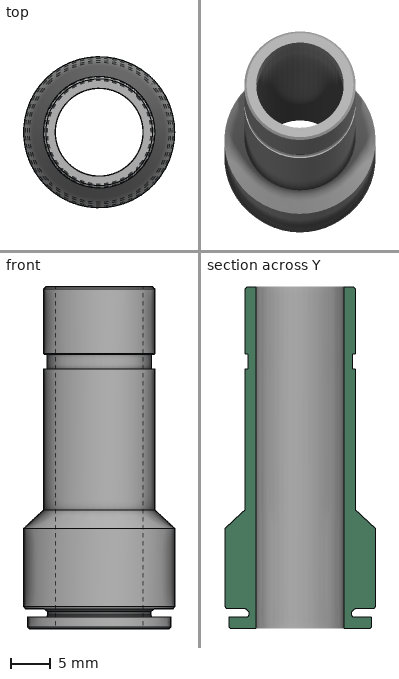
import cadquery as cq

total_height = 43.0
bore_diameter = 11.0

collar_diameter = 18.0
collar_height = 1.5
collar_edge = 0.2

neck_diameter = 13.0
neck_foot_diameter = 13.2
neck_foot_top = 1.7
neck_head_diameter = 13.8
neck_head_bottom = 2.15

body_diameter = 19.0
body_bottom = 2.5
body_top = 12.6
body_edge_height = 0.3
body_edge_width = 0.2

tube_diameter = 14.0
tube_bottom = 14.9
tube_edge = 0.3
groove_diameter = 13.2
groove_bottom = 32.7
groove_top = 34.5
groove_edge = 0.108


def cylinder(diameter, bottom, top):
    """Upright cylinder on the Z axis between two heights."""
    return cq.Workplane("XY", origin=(0, 0, bottom)).circle(diameter / 2).extrude(top - bottom)


def cone(bottom_diameter, top_diameter, bottom, top):
    """Upright truncated cone on the Z axis between two heights."""
    return (
        cq.Workplane("XY", origin=(0, 0, bottom))
        .circle(bottom_diameter / 2)
        .workplane(offset=top - bottom)
        .circle(top_diameter / 2)
        .loft(ruled=True)
    )


def make_collar():
    """Release collar with a chamfered lower rim."""
    return cylinder(collar_diameter, 0, collar_height).faces("<Z").edges().chamfer(collar_edge)


def make_neck():
    """Narrow neck with a small flare onto the collar and a wider one under the body."""
    foot = cone(neck_foot_diameter, neck_diameter, collar_height, neck_foot_top)
    middle = cylinder(neck_diameter, neck_foot_top, neck_head_bottom)
    head = cone(neck_diameter, neck_head_diameter, neck_head_bottom, body_bottom)
    return foot.union(middle).union(head)


def make_body():
    """Socket body with a beveled lower rim and a shoulder that tapers up to the tube."""
    rim_top = body_bottom + body_edge_height
    rim = cone(body_diameter - 2 * body_edge_width, body_diameter, body_bottom, rim_top)
    barrel = cylinder(body_diameter, rim_top, body_top)
    shoulder = cone(body_diameter, tube_diameter, body_top, tube_bottom)
    return rim.union(barrel).union(shoulder)


def make_tube():
    """Plug tube: lower length, groove floor and chamfered end."""
    lower = cylinder(tube_diameter, tube_bottom, groove_bottom)
    groove_floor = cylinder(groove_diameter, groove_bottom, groove_top)
    end = cylinder(tube_diameter, groove_top, total_height)
    end = end.faces(">Z").edges().chamfer(tube_edge)
    end = end.faces("<Z").edges().chamfer(groove_edge)
    return lower.union(groove_floor).union(end)


bore = cylinder(bore_diameter, 0, total_height)
result = make_collar().union(make_neck()).union(make_body()).union(make_tube()).cut(bore)